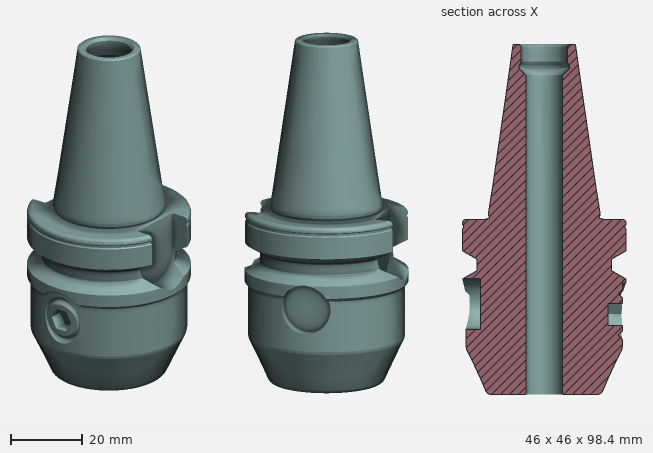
import cadquery as cq
import math

TOTAL_LENGTH = 98.4
GAUGE_Z = 50.0
TAPER_END_Z = 51.2
NECK_TOP_Z = 50.3
NECK_BOTTOM_Z = 49.6
FLANGE_TOP_Z = 49.3
GRIP_GROOVE_TOP_Z = 40.4
GRIP_GROOVE_BOTTOM_Z = 32.5
COLLAR_BOTTOM_Z = 29.0
NOSE_TOP_Z = 13.0

GAUGE_RADIUS = 31.75 / 2
TAPER_SLOPE = 7 / 24 / 2
TAPER_TIP_CHAMFER = 0.3
NECK_RADIUS = 15.4
NECK_FLARE_RADIUS = 16.7

FLANGE_RADIUS = 23.0
FLANGE_FILLET = 1.2
GRIP_GROOVE_RADIUS = 18.9
GRIP_GROOVE_ANGLE = 30.0
GRIP_UPPER_FILLET = 0.5
GRIP_LOWER_FILLET = 0.3
RING_GROOVE_Z = 47.2
RING_GROOVE_MOUTH = 1.2
RING_GROOVE_FLOOR = 0.6
RING_GROOVE_DEPTH = 0.3

BODY_RADIUS = 22.0
NOSE_ANGLE = 25.0
NOSE_FILLET = 2.0

BORE_RADIUS = 5.1
PILOT_RADIUS = 6.4
PILOT_DEPTH = 5.0
PILOT_CHAMFER = 0.7
UNDERCUT_RADIUS = 7.05
UNDERCUT_FLARE_ANGLE = 30.0
UNDERCUT_WIDTH = 0.7

SLOT_WIDTH = 16.1
SLOT_FLOOR_X = 16.3
SLOT_BOTTOM_Z = 30.75

SCREW_Z = 22.55
SCREW_FACE_RADIUS = 4.62
COUNTERSINK_RADIUS = 7.0
SCREW_HEX_FLATS = 6.0
SCREW_HEX_DEPTH = 4.0
SCREW_HEX_TURN = 30.0
SCREW_RELIEF_RADIUS = 8.8

BALANCE_Z = 25.5
BALANCE_RADIUS = 7.1
BALANCE_FLOOR_Y = 18.0

CLEARANCE = 1.0
EDGE_TOLERANCE = 0.01


def taper_radius(z):
    return GAUGE_RADIUS - (z - GAUGE_Z) * TAPER_SLOPE


def revolve_about_z(outline):
    """Solid of revolution from (radius, z) points."""
    return cq.Workplane("XZ").polyline(outline).close().revolve(360, (0, 0, 0), (0, 1, 0))


def round_circle(part, radius, z, fillet_radius):
    """Fillet the circular edge of the given radius at height z."""
    edges = [
        edge for edge in part.edges("%CIRCLE").vals()
        if abs(edge.radius() - radius) < EDGE_TOLERANCE
        and abs(edge.Center().z - z) < EDGE_TOLERANCE
    ]
    return part.newObject(edges).fillet(fillet_radius)


def make_body():
    """Turned outside of the holder."""
    groove_rise = (FLANGE_RADIUS - GRIP_GROOVE_RADIUS) * math.tan(math.radians(GRIP_GROOVE_ANGLE))
    groove_floor_top = GRIP_GROOVE_TOP_Z - groove_rise
    groove_floor_bottom = GRIP_GROOVE_BOTTOM_Z + groove_rise
    collar_step = FLANGE_RADIUS - BODY_RADIUS
    nose_radius = BODY_RADIUS - NOSE_TOP_Z * math.tan(math.radians(NOSE_ANGLE))
    outline = [
        (0, 0),
        (nose_radius, 0),
        (BODY_RADIUS, NOSE_TOP_Z),
        (BODY_RADIUS, COLLAR_BOTTOM_Z - collar_step),
        (FLANGE_RADIUS, COLLAR_BOTTOM_Z),
        (FLANGE_RADIUS, GRIP_GROOVE_BOTTOM_Z),
        (GRIP_GROOVE_RADIUS, groove_floor_bottom),
        (GRIP_GROOVE_RADIUS, groove_floor_top),
        (FLANGE_RADIUS, GRIP_GROOVE_TOP_Z),
        (FLANGE_RADIUS, FLANGE_TOP_Z),
        (NECK_FLARE_RADIUS, FLANGE_TOP_Z),
        (NECK_RADIUS, NECK_BOTTOM_Z),
        (taper_radius(TAPER_END_Z), NECK_TOP_Z),
        (taper_radius(TAPER_END_Z), TAPER_END_Z),
        (taper_radius(TOTAL_LENGTH), TOTAL_LENGTH),
        (0, TOTAL_LENGTH),
    ]
    body = revolve_about_z(outline)
    body = round_circle(body, FLANGE_RADIUS, FLANGE_TOP_Z, FLANGE_FILLET)
    body = round_circle(body, GRIP_GROOVE_RADIUS, groove_floor_top, GRIP_UPPER_FILLET)
    body = round_circle(body, GRIP_GROOVE_RADIUS, groove_floor_bottom, GRIP_LOWER_FILLET)
    body = round_circle(body, BODY_RADIUS, NOSE_TOP_Z, NOSE_FILLET)
    body = round_circle(body, nose_radius, 0, NOSE_FILLET)
    return body.faces(">Z").edges().chamfer(TAPER_TIP_CHAMFER)


def cut_ring_groove(part):
    """Fine groove with sloped sides around the flange rim."""
    floor_radius = FLANGE_RADIUS - RING_GROOVE_DEPTH
    groove = revolve_about_z([
        (FLANGE_RADIUS, RING_GROOVE_Z - RING_GROOVE_MOUTH / 2),
        (floor_radius, RING_GROOVE_Z - RING_GROOVE_FLOOR / 2),
        (floor_radius, RING_GROOVE_Z + RING_GROOVE_FLOOR / 2),
        (FLANGE_RADIUS, RING_GROOVE_Z + RING_GROOVE_MOUTH / 2),
    ])
    return part.cut(groove)


def cut_bore(part):
    """Through bore with the chamfered pilot and undercut at the taper end."""
    flare_length = (UNDERCUT_RADIUS - PILOT_RADIUS) / math.tan(math.radians(UNDERCUT_FLARE_ANGLE))
    pilot_bottom = TOTAL_LENGTH - PILOT_DEPTH
    undercut_top = pilot_bottom - flare_length
    undercut_bottom = undercut_top - UNDERCUT_WIDTH
    seat_drop = UNDERCUT_RADIUS - BORE_RADIUS
    bore = revolve_about_z([
        (0, 0),
        (BORE_RADIUS, 0),
        (BORE_RADIUS, undercut_bottom - seat_drop),
        (UNDERCUT_RADIUS, undercut_bottom),
        (UNDERCUT_RADIUS, undercut_top),
        (PILOT_RADIUS, pilot_bottom),
        (PILOT_RADIUS, TOTAL_LENGTH - PILOT_CHAMFER),
        (PILOT_RADIUS + PILOT_CHAMFER, TOTAL_LENGTH),
        (0, TOTAL_LENGTH),
    ])
    return part.cut(bore)


def cut_drive_slots(part):
    """Two round-ended drive slots, open upward, on the -X and +X sides."""
    half_width = SLOT_WIDTH / 2
    arc_z = SLOT_BOTTOM_Z + half_width
    open_z = FLANGE_TOP_Z + CLEARANCE
    for side in (-1, 1):
        slot = (
            cq.Workplane("YZ")
            .workplane(offset=side * SLOT_FLOOR_X)
            .moveTo(-half_width, open_z)
            .lineTo(-half_width, arc_z)
            .threePointArc((0, SLOT_BOTTOM_Z), (half_width, arc_z))
            .lineTo(half_width, open_z)
            .close()
            .extrude(side * FLANGE_RADIUS)
        )
        part = part.cut(slot)
    return part


def cut_screw_relief(part):
    """Trim the collar flush with the body in a circle around the screw."""
    relief = (
        cq.Workplane("XZ", origin=(0, 0, SCREW_Z))
        .circle(SCREW_RELIEF_RADIUS)
        .extrude(FLANGE_RADIUS + CLEARANCE)
    )
    body_core = cq.Workplane("XY").circle(BODY_RADIUS).extrude(TOTAL_LENGTH)
    return part.cut(relief.cut(body_core))


def cut_screw(part):
    """45 degree V groove between countersink and screw, and the hexagon socket."""
    groove_depth = (COUNTERSINK_RADIUS - SCREW_FACE_RADIUS) / 2
    groove = (
        cq.Workplane("XY", origin=(0, 0, SCREW_Z))
        .polyline([
            (SCREW_FACE_RADIUS, -BODY_RADIUS),
            (SCREW_FACE_RADIUS + groove_depth, groove_depth - BODY_RADIUS),
            (COUNTERSINK_RADIUS, -BODY_RADIUS),
        ])
        .close()
        .revolve(360, (0, 0, 0), (0, 1, 0))
    )
    socket = (
        cq.Workplane("XZ", origin=(0, SCREW_HEX_DEPTH - BODY_RADIUS, SCREW_Z))
        .polygon(6, SCREW_HEX_FLATS, circumscribed=True)
        .extrude(SCREW_HEX_DEPTH + CLEARANCE)
        .rotate((0, 0, SCREW_Z), (0, 1, SCREW_Z), SCREW_HEX_TURN)
    )
    return part.cut(groove).cut(socket)


def cut_balance_recess(part):
    """Round flat-bottomed recess on the +Y side."""
    recess = (
        cq.Workplane("XZ", origin=(0, BALANCE_FLOOR_Y, BALANCE_Z))
        .circle(BALANCE_RADIUS)
        .extrude(BALANCE_FLOOR_Y - FLANGE_RADIUS - CLEARANCE)
    )
    return part.cut(recess)


result = make_body()
result = cut_ring_groove(result)
result = cut_bore(result)
result = cut_drive_slots(result)
result = cut_screw_relief(result)
result = cut_screw(result)
result = cut_balance_recess(result)